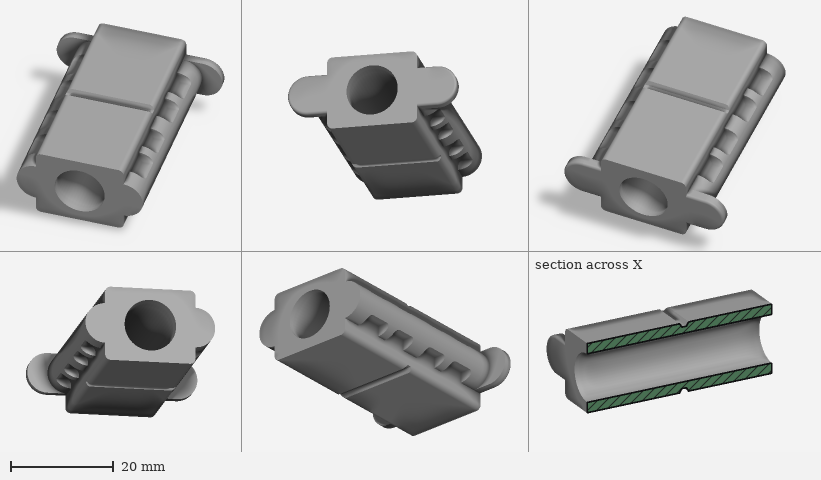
import cadquery as cq

length = 41.0
block_width = 17.9
block_height = 14.75
block_edge_radius = 1.05
bore_diameter = 10.2

rail_height = 8.0
rail_span = 25.75
flange_span = 33.75
flange_thickness = 2.0
flange_edge_radius = 0.5

pocket_floor_height = 2.4
pocket_inner_x = block_width / 2
pocket_fillet = 0.95
long_pocket = 6.0
short_pocket = 5.5
pockets = [
    (7.0, long_pocket),
    (14.75, short_pocket),
    (24.25, short_pocket),
    (32.0, long_pocket),
]

groove_y = 19.48
groove_depth = 0.8
groove_mouth_width = 2.0
groove_floor_width = 0.95


def rounded_bar(span, start_y, end_y):
    """Bar along Y with semicircular sides, spanning both sides of the block."""
    return (
        cq.Workplane("XZ", origin=(0, start_y, 0))
        .slot2D(span, rail_height)
        .extrude(start_y - end_y)
    )


def pocket_cutter(centre_y, pocket_length):
    """Cutter for one upper pocket on the +X rail, open upward and outward."""
    reach = rail_span / 2 - pocket_inner_x
    height = rail_height / 2
    return (
        cq.Workplane("XY")
        .box(2 * reach, pocket_length, height, centered=(False, True, False))
        .edges("<Z and (not >X)")
        .fillet(pocket_fillet)
        .translate((pocket_inner_x, centre_y, pocket_floor_height))
    )


def groove_cutter():
    """Trapezoidal bar that cuts the groove across the top face."""
    top = block_height / 2
    floor = top - groove_depth
    half_mouth = groove_mouth_width / 2
    half_floor = groove_floor_width / 2
    return (
        cq.Workplane("YZ")
        .moveTo(groove_y - half_mouth, top)
        .lineTo(groove_y - half_floor, floor)
        .lineTo(groove_y + half_floor, floor)
        .lineTo(groove_y + half_mouth, top)
        .close()
        .extrude(block_width / 2, both=True)
    )


rails = rounded_bar(rail_span, 0, length - flange_thickness)
for centre_y, pocket_length in pockets:
    upper_right = pocket_cutter(centre_y, pocket_length)
    upper_pair = upper_right.union(upper_right.mirror("YZ"))
    rails = rails.cut(upper_pair).cut(upper_pair.mirror("XY"))

flange = (
    rounded_bar(flange_span, length - flange_thickness, length)
    .faces(">Y")
    .edges()
    .fillet(flange_edge_radius)
)

block = (
    cq.Workplane("XY")
    .box(block_width, length, block_height, centered=(True, False, True))
    .edges("|Y")
    .fillet(block_edge_radius)
)
groove = groove_cutter()
block = block.cut(groove).cut(groove.mirror("XY"))

bore = cq.Workplane("XZ").circle(bore_diameter / 2).extrude(-length)

result = block.union(rails).union(flange).cut(bore)